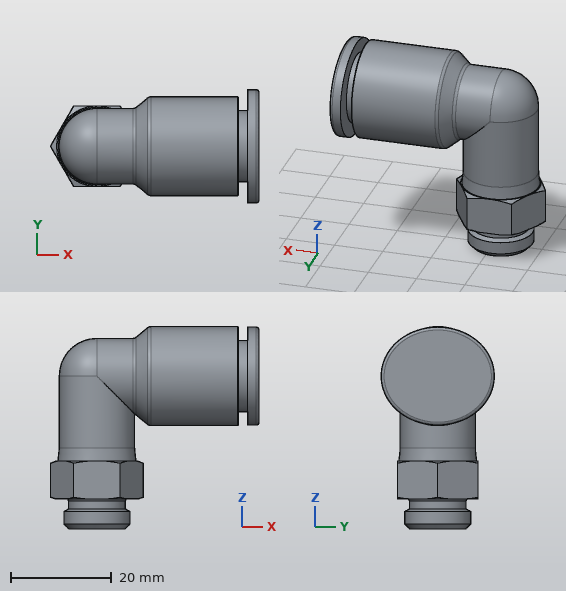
import cadquery as cq
import math


ELBOW_RADIUS = 7.5
OVERALL_HEIGHT = 40.2
BODY_RADIUS = 9.85
AXIS_Z = OVERALL_HEIGHT - BODY_RADIUS

THREAD_RADIUS = 6.58
THREAD_TOP_Z = 4.0
THREAD_TIP_CHAMFER = 1.0
THREAD_TOP_BEVEL_HEIGHT = 0.55
GROOVE_RADIUS = 5.65
SEAT_FLARE_HEIGHT = 0.45
SEAT_FLARE_WIDTH = 0.2

HEX_ACROSS_FLATS = 16.0
HEX_CORNER_DIAMETER = HEX_ACROSS_FLATS / math.cos(math.pi / 6)
HEX_BOTTOM_Z = 6.0
HEX_TOP_Z = 13.55
HEX_TOP_CHAMFER_HEIGHT = 0.5
HEX_BOTTOM_CHAMFER_HEIGHT = 0.3
HEX_TOP_CHAMFER_INSET = 1.24
HEX_BOTTOM_CHAMFER_INSET = 0.9

FOOT_TOP_Z = 16.1
FOOT_RADIUS = 7.75

SHOULDER_START_X = 7.5
SHOULDER_END_X = 10.35
SHOULDER_FILLET = 1.0
EDGE_SEARCH_MARGIN = 0.1
BODY_END_X = 28.1
BODY_END_CHAMFER = 0.15

NECK_RADIUS = 7.1
FLANGE_START_X = 29.9
FLANGE_END_X = 32.2
FLANGE_WIDTH = 22.5
FLANGE_HEIGHT = 19.5
FLANGE_FILLET = 0.6


def cylinder_z(radius, bottom, top):
    return cq.Workplane("XY").workplane(offset=bottom).circle(radius).extrude(top - bottom)


def cylinder_x(radius, start, end):
    return cq.Workplane("YZ", origin=(start, 0, AXIS_Z)).circle(radius).extrude(end - start)


def revolve_about_z(profile):
    """Turn a closed (radius, z) profile about the stem axis."""
    return cq.Workplane("XZ").polyline(profile).close().revolve(360, (0, 0), (0, 1))


def make_threaded_end():
    """Thread body, relief groove and the small flare under the hexagon."""
    return revolve_about_z([
        (0, 0),
        (THREAD_RADIUS - THREAD_TIP_CHAMFER, 0),
        (THREAD_RADIUS, THREAD_TIP_CHAMFER),
        (THREAD_RADIUS, THREAD_TOP_Z - THREAD_TOP_BEVEL_HEIGHT),
        (GROOVE_RADIUS, THREAD_TOP_Z),
        (GROOVE_RADIUS, HEX_BOTTOM_Z - SEAT_FLARE_HEIGHT),
        (GROOVE_RADIUS + SEAT_FLARE_WIDTH, HEX_BOTTOM_Z),
        (0, HEX_BOTTOM_Z),
    ])


def make_hexagon():
    hexagon = (
        cq.Workplane("XY").workplane(offset=HEX_BOTTOM_Z)
        .polygon(6, HEX_CORNER_DIAMETER).extrude(HEX_TOP_Z - HEX_BOTTOM_Z)
    )
    corner_radius = HEX_CORNER_DIAMETER / 2
    envelope = revolve_about_z([
        (0, HEX_BOTTOM_Z),
        (corner_radius - HEX_BOTTOM_CHAMFER_INSET, HEX_BOTTOM_Z),
        (corner_radius, HEX_BOTTOM_Z + HEX_BOTTOM_CHAMFER_HEIGHT),
        (corner_radius, HEX_TOP_Z - HEX_TOP_CHAMFER_HEIGHT),
        (corner_radius - HEX_TOP_CHAMFER_INSET, HEX_TOP_Z),
        (0, HEX_TOP_Z),
    ])
    return hexagon.intersect(envelope)


def make_elbow():
    foot = revolve_about_z([
        (0, HEX_TOP_Z),
        (FOOT_RADIUS, HEX_TOP_Z),
        (ELBOW_RADIUS, FOOT_TOP_Z),
        (0, FOOT_TOP_Z),
    ])
    upright = cylinder_z(ELBOW_RADIUS, FOOT_TOP_Z, AXIS_Z)
    knee = cq.Workplane("XY").sphere(ELBOW_RADIUS).translate((0, 0, AXIS_Z))
    return foot.union(upright).union(knee)


def edge_at_x(x):
    """Select the edges of the socket lying in the plane at this x."""
    reach = 2 * OVERALL_HEIGHT
    return cq.selectors.BoxSelector(
        (x - EDGE_SEARCH_MARGIN, -reach, -reach),
        (x + EDGE_SEARCH_MARGIN, reach, reach),
    )


def make_socket():
    """Horizontal arm, conical shoulder and socket body, turned about the socket axis."""
    profile = [
        (0, 0),
        (0, ELBOW_RADIUS),
        (SHOULDER_START_X, ELBOW_RADIUS),
        (SHOULDER_END_X, BODY_RADIUS),
        (BODY_END_X - BODY_END_CHAMFER, BODY_RADIUS),
        (BODY_END_X, BODY_RADIUS - BODY_END_CHAMFER),
        (BODY_END_X, 0),
    ]
    socket = (
        cq.Workplane("XZ", origin=(0, 0, AXIS_Z))
        .polyline(profile).close().revolve(360, (0, 0), (1, 0))
    )
    socket = socket.edges(edge_at_x(SHOULDER_START_X)).fillet(SHOULDER_FILLET)
    return socket.edges(edge_at_x(SHOULDER_END_X)).fillet(SHOULDER_FILLET)


def make_collar():
    neck = cylinder_x(NECK_RADIUS, BODY_END_X, FLANGE_START_X)
    flange = (
        cq.Workplane("YZ", origin=(FLANGE_START_X, 0, AXIS_Z))
        .ellipse(FLANGE_WIDTH / 2, FLANGE_HEIGHT / 2)
        .extrude(FLANGE_END_X - FLANGE_START_X)
        .faces(">X").edges().fillet(FLANGE_FILLET)
    )
    return neck.union(flange)


result = (
    make_threaded_end()
    .union(make_hexagon())
    .union(make_elbow())
    .union(make_socket())
    .union(make_collar())
)